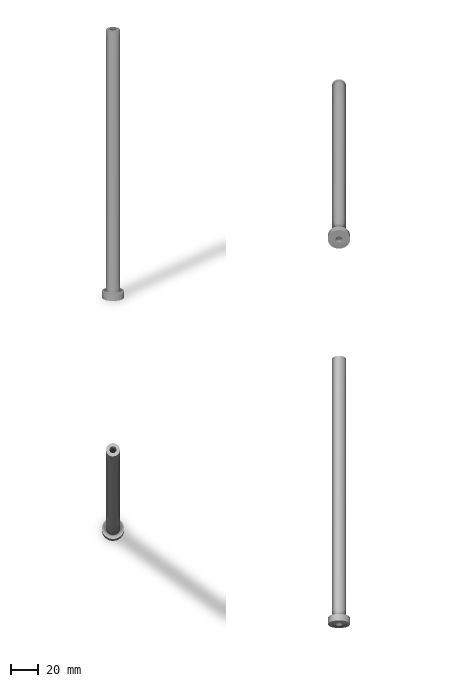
import cadquery as cq

total_length = 205.0
head_diameter = 16.0
head_height = 5.0
shaft_diameter = 10.0
bore_diameter = 5.0
neck_fillet_radius = 0.5

head_radius = head_diameter / 2
shaft_radius = shaft_diameter / 2
bore_radius = bore_diameter / 2


def sleeve_body():
    """Shaft standing on its head, with a concave fillet where they meet."""
    neck_fillet_start = (shaft_radius + neck_fillet_radius, head_height)
    neck_fillet_end = (shaft_radius, head_height + neck_fillet_radius)
    half_profile = (
        cq.Workplane("XZ")
        .lineTo(head_radius, 0)
        .lineTo(head_radius, head_height)
        .lineTo(*neck_fillet_start)
        .radiusArc(neck_fillet_end, neck_fillet_radius)
        .lineTo(shaft_radius, total_length)
        .lineTo(0, total_length)
        .close()
    )
    return half_profile.revolve(360, (0, 0, 0), (0, 1, 0))


def through_bore():
    """Cylinder that opens the sleeve from end to end."""
    return cq.Workplane("XY").circle(bore_radius).extrude(total_length)


result = sleeve_body().cut(through_bore())